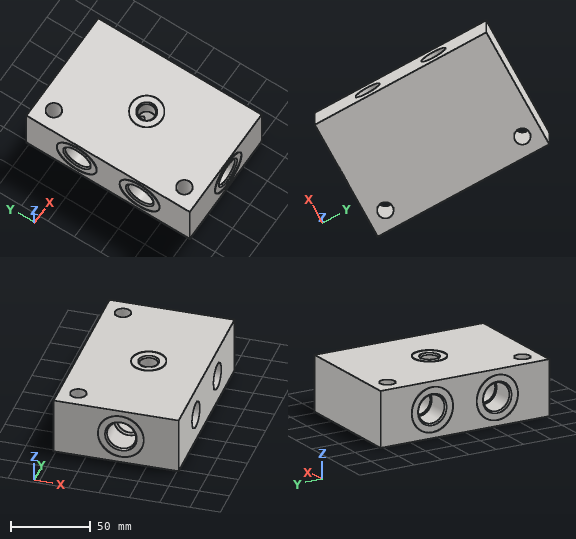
import cadquery as cq
import math

LENGTH_X = 82.6
LENGTH_Y = 123.8
HEIGHT_Z = 38.1

MOUNT_DIAMETER = 10.4
MOUNT_X = -28.6
MOUNT_Y = 49.4

SPOTFACE_DEPTH = 0.4
CHAMFER_DEPTH = 1.1
DRILL_POINT_HALF_ANGLE = 59.0

LARGE_SPOTFACE_DIAMETER = 30.2
LARGE_MOUTH_DIAMETER = 21.0
LARGE_BORE_DIAMETER = 19.1
LARGE_BORE_DEPTH = 17.3

SMALL_SPOTFACE_DIAMETER = 22.4
SMALL_MOUTH_DIAMETER = 13.4
SMALL_BORE_DIAMETER = 11.6
SMALL_BORE_DEPTH = 12.0

PORT_X = 3.1
CROSS_BORE_Y = 23.8
CROSS_BORE_DIAMETER = 17.3
END_BORE_DIAMETER = 15.9

PILOT_DIAMETER = 3.8
PILOT_Z = -5.5
PILOT_DIP = 12.0
RISER_DIAMETER = 3.0
RISER_Y = 3.1

LINK_DIAMETER = 3.5
LINK_OFFSET_X = 4.7
LINK_Z = 4.2
LINK_SWING = 25.0


def cylinder(start, direction, diameter, length):
    return cq.Workplane(cq.Solid.makeCylinder(diameter / 2, length, cq.Vector(*start), cq.Vector(*direction)))


def port(mouth, inward, spotface_diameter, mouth_diameter, bore_diameter, bore_depth, end_diameter=0.0):
    """Port cutter: spotface, chamfer, bore and a drill point narrowing to end_diameter."""
    bore_radius = bore_diameter / 2
    end_radius = end_diameter / 2
    chamfer_end = SPOTFACE_DEPTH + CHAMFER_DEPTH
    point_length = (bore_radius - end_radius) / math.tan(math.radians(DRILL_POINT_HALF_ANGLE))
    outline = [
        (0, 0),
        (spotface_diameter / 2, 0),
        (spotface_diameter / 2, SPOTFACE_DEPTH),
        (mouth_diameter / 2, SPOTFACE_DEPTH),
        (bore_radius, chamfer_end),
        (bore_radius, bore_depth),
        (end_radius, bore_depth + point_length),
    ]
    if end_radius > 0:
        outline.append((0, bore_depth + point_length))
    inward_axis = cq.Vector(*inward)
    radial_axis = cq.Vector(inward[1], inward[2], inward[0])
    axis_plane = cq.Plane(cq.Vector(*mouth), radial_axis, radial_axis.cross(inward_axis))
    return cq.Workplane(axis_plane).polyline(outline).close().revolve(360, (0, 0), (0, 1))


def cross_bore_depth(z):
    """Distance along Y from a cross bore axis to its wall at height z."""
    return math.sqrt((CROSS_BORE_DIAMETER / 2) ** 2 - z ** 2)


LARGE_PORT = (LARGE_SPOTFACE_DIAMETER, LARGE_MOUTH_DIAMETER, LARGE_BORE_DIAMETER, LARGE_BORE_DEPTH)
SMALL_PORT = (SMALL_SPOTFACE_DIAMETER, SMALL_MOUTH_DIAMETER, SMALL_BORE_DIAMETER, SMALL_BORE_DEPTH)

result = cq.Workplane("XY").box(LENGTH_X, LENGTH_Y, HEIGHT_Z)

for y in (-MOUNT_Y, MOUNT_Y):
    result = result.cut(cylinder((MOUNT_X, y, -HEIGHT_Z / 2), (0, 0, 1), MOUNT_DIAMETER, HEIGHT_Z))

for y in (-CROSS_BORE_Y, CROSS_BORE_Y):
    mouth = (-LENGTH_X / 2, y, 0)
    result = result.cut(cylinder(mouth, (1, 0, 0), CROSS_BORE_DIAMETER, LENGTH_X))
    result = result.cut(port(mouth, (1, 0, 0), *LARGE_PORT, CROSS_BORE_DIAMETER))

end_mouth = (PORT_X, -LENGTH_Y / 2, 0)
result = result.cut(cylinder(end_mouth, (0, 1, 0), END_BORE_DIAMETER, LENGTH_Y / 2 - CROSS_BORE_Y))
result = result.cut(port(end_mouth, (0, 1, 0), *LARGE_PORT, END_BORE_DIAMETER))

result = result.cut(port((PORT_X, 0, HEIGHT_Z / 2), (0, 0, -1), *SMALL_PORT))

dip = math.radians(PILOT_DIP)
pilot_wall_y = -CROSS_BORE_Y + cross_bore_depth(PILOT_Z)
pilot_axis_z = PILOT_Z + (pilot_wall_y + CROSS_BORE_Y) * math.tan(dip)
pilot_length = (RISER_Y + RISER_DIAMETER + CROSS_BORE_Y) / math.cos(dip)
pilot_direction = (0, math.cos(dip), -math.sin(dip))
result = result.cut(
    cylinder((PORT_X, -CROSS_BORE_Y, pilot_axis_z), pilot_direction, PILOT_DIAMETER, pilot_length)
)

riser_bottom_z = pilot_axis_z - (RISER_Y + CROSS_BORE_Y) * math.tan(dip)
riser_top_z = HEIGHT_Z / 2 - SMALL_BORE_DEPTH
result = result.cut(
    cylinder((PORT_X, RISER_Y, riser_bottom_z), (0, 0, 1), RISER_DIAMETER, riser_top_z - riser_bottom_z)
)

swing = math.radians(LINK_SWING)
link_start_x = PORT_X + LINK_OFFSET_X - cross_bore_depth(LINK_Z) * math.tan(swing)
link_length = 2 * CROSS_BORE_Y / math.cos(swing)
link_direction = (math.sin(swing), math.cos(swing), 0)
result = result.cut(
    cylinder((link_start_x, -CROSS_BORE_Y, LINK_Z), link_direction, LINK_DIAMETER, link_length)
)